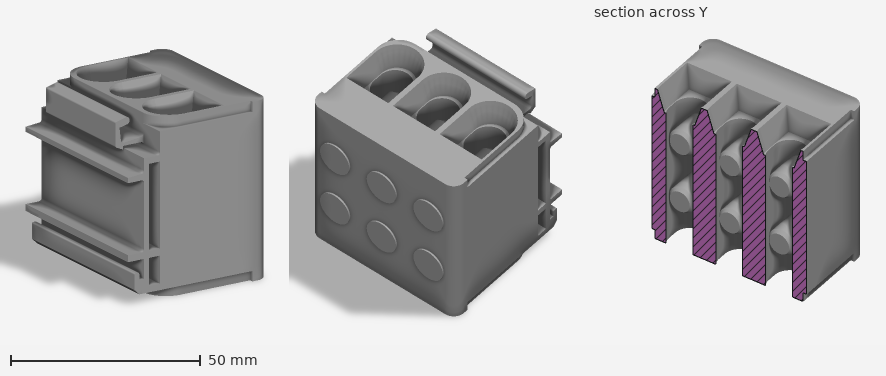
import cadquery as cq
import math

width = 50.0
height = 50.0
depth = 34.0
rear_corner_radius = 3.5

cap_height = 2.9
cap_inset = 1.1
cap_depth = 29.0
cap_corner_radius = 7.0

pole_count = 3
pole_pitch = 16.0
funnel_width = 14.4
funnel_rear = 21.0
funnel_arc_center = 8.7
funnel_depth = 6.7
funnel_inset = 2.08
bore_width = 9.8
bore_length = 12.5
bore_center = 10.9

screw_levels = (15.5, 34.5)
screw_diameter = 8.0
screw_tip = 7.35
screw_tip_chamfer_length = 1.1
screw_tip_chamfer_width = 0.8
head_diameter = 10.0
head_projection = 0.5
head_length = 3.0

foot_face = -5.0
foot_bottom = cap_height
ledge_top = 40.5
fin_tip = -10.0
lower_fin_bottom = 12.5
lower_fin_top = 14.4
upper_fin_bottom = 34.5
upper_fin_tip_top = 35.95
upper_fin_root_top = 36.4
lip_inner = -6.5
lip_outer = -8.0
lip_top = 9.0
lip_chamfer = 1.5
lip_radius = 0.4
groove_floor = 6.9
root_radius = 0.8

channel_web = 2.0
channel_depth = 3.4
lower_channel_bottom = 4.65
upper_channel_top = 38.7

clip_width = 34.0
clip_outer = -8.75
clip_underside = 41.95
clip_root_top = 43.55
clip_bend_inner = -7.0
clip_bend_top = 42.7
clip_barb_inner = -6.5
clip_barb_bottom = 40.95
clip_throat_inner = -7.55
clip_throat_top = 47.2
clip_corner_top = 48.95
clip_arm_tip = -4.4
clip_arm_tip_bottom = 47.9
clip_arm_tip_top = 50.05
clip_tip_radius = 0.95
clip_corner_radius = 0.5

overlap = 1.0


def rounded_profile(corners, length):
    """Extrude a closed Y-Z polygon, centred on X; each corner is (y, z) or (y, z, radius)."""
    path = cq.Workplane("YZ")
    started = False
    for index, corner in enumerate(corners):
        here = cq.Vector(corner[0], corner[1])
        radius = corner[2] if len(corner) == 3 else 0.0
        stops = [here]
        middle = None
        if radius > 0:
            before = corners[index - 1]
            after = corners[(index + 1) % len(corners)]
            to_before = (cq.Vector(before[0], before[1]) - here).normalized()
            to_after = (cq.Vector(after[0], after[1]) - here).normalized()
            half_angle = to_before.getAngle(to_after) / 2
            tangent = radius / math.tan(half_angle)
            arc_offset = radius / math.sin(half_angle) - radius
            stops = [here + to_before * tangent, here + to_after * tangent]
            middle = here + (to_before + to_after).normalized() * arc_offset
        first = (stops[0].x, stops[0].y)
        path = path.lineTo(*first) if started else path.moveTo(*first)
        started = True
        if middle is not None:
            path = path.threePointArc((middle.x, middle.y), (stops[1].x, stops[1].y))
    return path.close().extrude(length / 2, both=True)


def make_housing():
    block = cq.Workplane("XY").box(width, depth, height, centered=(True, False, False))
    return block.edges("|Z and >Y").fillet(rear_corner_radius)


def make_cap_relief(bottom):
    """Material removed around one cap: narrow side strips and rounded front corners."""
    band = cq.Workplane("XY", origin=(0, 0, bottom))
    band = band.box(width, cap_depth, cap_height, centered=(True, False, False))
    cap = cq.Workplane("XY", origin=(0, 0, bottom))
    cap = cap.box(width - 2 * cap_inset, cap_depth, cap_height, centered=(True, False, False))
    cap = cap.edges("|Z and <Y").fillet(cap_corner_radius)
    return band.cut(cap)


def funnel_outline(plane, x, inset):
    """Square-backed outline with a semicircular front."""
    radius = funnel_width / 2 - inset
    rear = funnel_rear - inset
    return (
        plane.moveTo(x - radius, rear)
        .lineTo(x - radius, funnel_arc_center)
        .threePointArc((x, funnel_arc_center - radius), (x + radius, funnel_arc_center))
        .lineTo(x + radius, rear)
        .close()
    )


def make_entry(x):
    """Tapered funnel in the top face leading to an oblong bore through the housing."""
    mouth = funnel_outline(cq.Workplane("XY", origin=(0, 0, height)), x, 0)
    funnel_floor = mouth.workplane(offset=-funnel_depth, origin=(0, 0, height))
    funnel = funnel_outline(funnel_floor, x, funnel_inset).loft(ruled=True)
    bore = (
        cq.Workplane("XY")
        .center(x, bore_center)
        .slot2D(bore_length, bore_width, 90)
        .extrude(height)
    )
    return funnel.union(bore)


def make_screw(x, z):
    """Screw along Y with a conical tip in the bore and a head standing out of the rear face."""
    radius = screw_diameter / 2
    head_radius = head_diameter / 2
    head_end = depth + head_projection
    head_start = depth - head_length
    half_section = (
        cq.Workplane("XY")
        .moveTo(0, screw_tip)
        .lineTo(radius - screw_tip_chamfer_width, screw_tip)
        .lineTo(radius, screw_tip + screw_tip_chamfer_length)
        .lineTo(radius, head_start)
        .lineTo(head_radius, head_start)
        .lineTo(head_radius, head_end)
        .lineTo(0, head_end)
        .close()
    )
    return half_section.revolve(360, (0, 0, 0), (0, 1, 0)).translate((x, 0, z))


def make_rail_foot():
    """Full-width foot with two fins, a hooked lip and a ledge on top."""
    foot = rounded_profile(
        [
            (overlap, foot_bottom),
            (lip_outer + lip_chamfer, foot_bottom),
            (lip_outer, foot_bottom + lip_chamfer),
            (lip_outer, lip_top, lip_radius),
            (lip_inner, lip_top, lip_radius),
            (lip_inner, groove_floor),
            (foot_face, groove_floor),
            (foot_face, lower_fin_bottom),
            (fin_tip, lower_fin_bottom),
            (fin_tip, lower_fin_top),
            (foot_face, lower_fin_top, root_radius),
            (foot_face, upper_fin_bottom, root_radius),
            (fin_tip, upper_fin_bottom),
            (fin_tip, upper_fin_tip_top),
            (foot_face, upper_fin_root_top, root_radius),
            (foot_face, ledge_top),
            (0, ledge_top, root_radius),
            (0, clip_underside),
            (overlap, clip_underside),
        ],
        width,
    )
    channel_length = (width - channel_web) / 2
    channels = ((lower_channel_bottom, lower_fin_bottom), (lower_fin_top, upper_channel_top))
    for bottom, top in channels:
        channel = cq.Workplane("XY").box(channel_length, channel_depth, top - bottom, centered=False)
        for start in (-width / 2, channel_web / 2):
            foot = foot.cut(channel.translate((start, -channel_depth, bottom)))
    return foot


def make_clip():
    """Hooked spring clip standing out from the front face."""
    return rounded_profile(
        [
            (overlap, ledge_top),
            (0, ledge_top),
            (0, clip_underside, root_radius),
            (clip_barb_inner, clip_underside),
            (clip_barb_inner, clip_barb_bottom),
            (clip_outer, clip_underside, clip_corner_radius),
            (clip_outer, clip_corner_top, clip_corner_radius),
            (clip_arm_tip, clip_arm_tip_top, clip_tip_radius),
            (clip_arm_tip, clip_arm_tip_bottom, clip_tip_radius),
            (clip_throat_inner, clip_throat_top),
            (clip_bend_inner, clip_bend_top, root_radius),
            (0, clip_root_top, root_radius),
            (0, clip_root_top + overlap),
            (overlap, clip_root_top + overlap),
        ],
        clip_width,
    )


pole_positions = [(index - (pole_count - 1) / 2) * pole_pitch for index in range(pole_count)]

result = make_housing()
for cap_bottom in (0, height - cap_height):
    result = result.cut(make_cap_relief(cap_bottom))
result = result.union(make_rail_foot()).union(make_clip())
for pole_x in pole_positions:
    result = result.cut(make_entry(pole_x))
    for screw_z in screw_levels:
        result = result.union(make_screw(pole_x, screw_z))